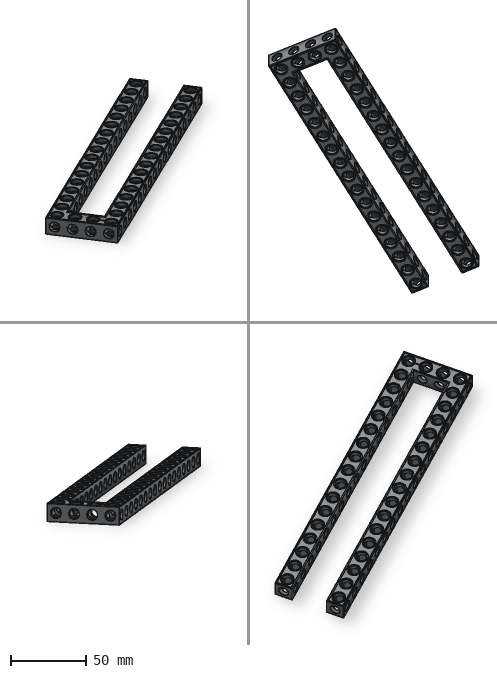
import cadquery as cq

length = 212.5
long_holes = 17
cross_holes = 4
pitch = length / long_holes
bore_diameter = 7.0
collar_diameter = 9.1
rim_width = 1.0
recess_depth = 0.25
outer_chamfer = 0.32
mouth_chamfer = 0.25
rib_width = 0.5

width = cross_holes * pitch
inner_width = width - 2 * pitch
cut_margin = 2.1


def centred_row(count):
    """Hole positions spaced by the pitch and centred on zero."""
    return [(i - (count - 1) / 2) * pitch for i in range(count)]


columns = centred_row(cross_holes)
rows = centred_row(long_holes)
leg_points = [(x, y) for x in (columns[0], columns[-1]) for y in rows]
base_points = [(x, rows[0]) for x in columns[1:-1]]
vertical_points = leg_points + base_points


def u_prism(inset, height):
    """U open toward +Y with its outline moved inward by inset, standing on Z = 0."""
    outer_x = width / 2 - inset
    inner_x = inner_width / 2 + inset
    end_y = length / 2 - inset
    base_y = -length / 2 + pitch - inset
    outline = [
        (-outer_x, -end_y), (outer_x, -end_y), (outer_x, end_y), (inner_x, end_y),
        (inner_x, base_y), (-inner_x, base_y), (-inner_x, end_y), (-outer_x, end_y),
    ]
    return cq.Workplane("XY").polyline(outline).close().extrude(height)


def chamfered_frame():
    """Square-section U whose outer sides have broken edges; the slot edges stay sharp."""
    block = cq.Workplane("XY").box(width, length, pitch).edges().chamfer(outer_chamfer)
    return block.intersect(u_prism(0, pitch).translate((0, 0, -pitch / 2)))


def recess():
    """Shallow pocket inside the rim that leaves a collar around every vertical hole."""
    collars = cq.Workplane("XY").pushPoints(vertical_points).circle(collar_diameter / 2).extrude(recess_depth)
    return u_prism(rim_width, recess_depth).cut(collars)


def top_rib():
    """Thin rib, as high as the rim, between the last two collars of the base."""
    rib = cq.Workplane("XY").box(pitch - bore_diameter, rib_width, recess_depth)
    return rib.translate((columns[-1] - pitch / 2, rows[0], (pitch - recess_depth) / 2))


def bores(plane, points, span):
    """Straight through bores normal to the plane, slightly longer than the span they cross."""
    half_length = span / 2 + cut_margin
    return cq.Workplane(plane).pushPoints(points).circle(bore_diameter / 2).extrude(half_length, both=True)


def mouths(plane, points, offset):
    """Double cones, widest on the face at the given offset, that flare the bore mouths on that face."""
    radius = bore_diameter / 2
    profile = [
        (0, -mouth_chamfer), (radius, -mouth_chamfer), (radius + mouth_chamfer, 0),
        (radius, mouth_chamfer), (0, mouth_chamfer),
    ]
    double_cone = cq.Workplane("XZ").polyline(profile).close().revolve(360, (0, 0), (0, 1)).val()
    face_plane = cq.Workplane(plane).workplane(offset=offset)
    return face_plane.pushPoints(points).eachpoint(double_cone, useLocalCoordinates=True)


result = chamfered_frame()
for bottom_z in (-pitch / 2, pitch / 2 - recess_depth):
    result = result.cut(recess().translate((0, 0, bottom_z)))
result = result.union(top_rib())

lengthwise_points = [(x, 0) for x in columns]
crosswise_points = [(y, 0) for y in rows]
result = result.cut(bores("XY", vertical_points, pitch))
result = result.cut(bores("XZ", lengthwise_points, length))
result = result.cut(bores("YZ", crosswise_points, width))

for side in (-1, 1):
    result = result.cut(mouths("XY", vertical_points, side * pitch / 2))
    result = result.cut(mouths("YZ", crosswise_points, side * width / 2))
result = result.cut(mouths("XZ", lengthwise_points, length / 2))
result = result.cut(mouths("XZ", [lengthwise_points[0], lengthwise_points[-1]], -length / 2))

for side in (-1, 1):
    result = result.cut(mouths("YZ", crosswise_points[1:], side * inner_width / 2))
result = result.cut(mouths("XZ", lengthwise_points[1:-1], length / 2 - pitch))